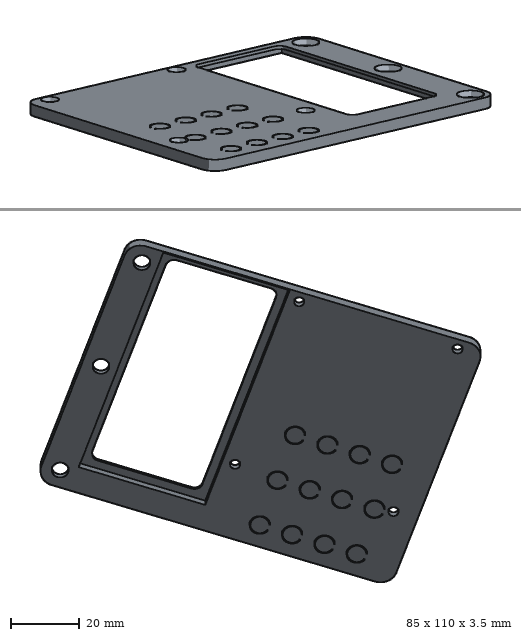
import cadquery as cq

PLATE_WIDTH = 85.0
PLATE_LENGTH = 110.0
PLATE_THICKNESS = 3.5
PLATE_CORNER_RADIUS = 5.0

WINDOW_WIDTH = 71.3
WINDOW_LENGTH = 34.1
WINDOW_CORNER_RADIUS = 2.5
WINDOW_CENTER_X = -4.0
WINDOW_CENTER_Y = 25.0

WINDOW_LIP_THICKNESS = 1.0
WINDOW_LIP_WIDTH = 2.5

MOUNT_HOLE_DIAMETER = 5.0
MOUNT_SINK_DIAMETER = 8.0
MOUNT_EDGE_INSET = 5.6

BOARD_HOLE_DIAMETER = 3.0
BOARD_SINK_DIAMETER = 5.4
BOARD_HOLE_SPACING_X = 57.9
BOARD_HOLE_SPACING_Y = 49.1
BOARD_CENTER_X = -10.5
BOARD_CENTER_Y = -23.0

KEY_COLUMNS = 3
KEY_ROWS = 4
KEY_PITCH_X = 16.0
KEY_PITCH_Y = 10.0
KEYPAD_CENTER_X = 19.5
KEYPAD_CENTER_Y = -27.0
KEY_DIAMETER = 5.5
KEY_SLIT_WIDTH = 0.28
KEY_HINGE_WIDTH = 2.0


def make_plate():
    plate = cq.Workplane("XY").box(
        PLATE_WIDTH, PLATE_LENGTH, PLATE_THICKNESS, centered=(True, True, False)
    )
    return plate.edges("|Z").fillet(PLATE_CORNER_RADIUS)


def make_window():
    window = (
        cq.Workplane("XY")
        .center(WINDOW_CENTER_X, WINDOW_CENTER_Y)
        .rect(WINDOW_WIDTH, WINDOW_LENGTH)
        .extrude(PLATE_THICKNESS)
    )
    return window.edges("|Z").fillet(WINDOW_CORNER_RADIUS)


def make_window_recess():
    recess_depth = PLATE_THICKNESS - WINDOW_LIP_THICKNESS
    return (
        cq.Workplane("XY")
        .center(WINDOW_CENTER_X, WINDOW_CENTER_Y)
        .rect(WINDOW_WIDTH + 2 * WINDOW_LIP_WIDTH, WINDOW_LENGTH + 2 * WINDOW_LIP_WIDTH)
        .extrude(recess_depth)
    )


def make_key_slits():
    """C-shaped slits; the gap on the -Y side of each key is its hinge."""
    slit_diameter = KEY_DIAMETER + 2 * KEY_SLIT_WIDTH
    keypad = cq.Workplane("XY").center(KEYPAD_CENTER_X, KEYPAD_CENTER_Y)
    keys = keypad.rarray(KEY_PITCH_X, KEY_PITCH_Y, KEY_COLUMNS, KEY_ROWS)
    rings = keys.circle(slit_diameter / 2).circle(KEY_DIAMETER / 2).extrude(PLATE_THICKNESS)
    hinges = (
        keypad.center(0, -slit_diameter / 2)
        .rarray(KEY_PITCH_X, KEY_PITCH_Y, KEY_COLUMNS, KEY_ROWS)
        .rect(KEY_HINGE_WIDTH, slit_diameter)
        .extrude(PLATE_THICKNESS)
    )
    return rings.cut(hinges)


def make_countersunk_hole(x, y, hole_diameter, sink_diameter):
    """Through hole with a conical sink opening at the top face."""
    hole_radius = hole_diameter / 2
    sink_radius = sink_diameter / 2
    sink_depth = sink_radius - hole_radius
    profile = [
        (0, 0),
        (hole_radius, 0),
        (hole_radius, PLATE_THICKNESS - sink_depth),
        (sink_radius, PLATE_THICKNESS),
        (0, PLATE_THICKNESS),
    ]
    cutter = cq.Workplane("XZ").polyline(profile).close().revolve(360, (0, 0), (0, 1))
    return cutter.translate((x, y, 0))


result = make_plate()
for cutter in (make_window(), make_window_recess(), make_key_slits()):
    result = result.cut(cutter)

mount_x = PLATE_WIDTH / 2 - MOUNT_EDGE_INSET
mount_y = PLATE_LENGTH / 2 - MOUNT_EDGE_INSET
for x in (-mount_x, 0, mount_x):
    result = result.cut(make_countersunk_hole(x, mount_y, MOUNT_HOLE_DIAMETER, MOUNT_SINK_DIAMETER))

for side_x in (-1, 1):
    for side_y in (-1, 1):
        x = BOARD_CENTER_X + side_x * BOARD_HOLE_SPACING_X / 2
        y = BOARD_CENTER_Y + side_y * BOARD_HOLE_SPACING_Y / 2
        result = result.cut(make_countersunk_hole(x, y, BOARD_HOLE_DIAMETER, BOARD_SINK_DIAMETER))